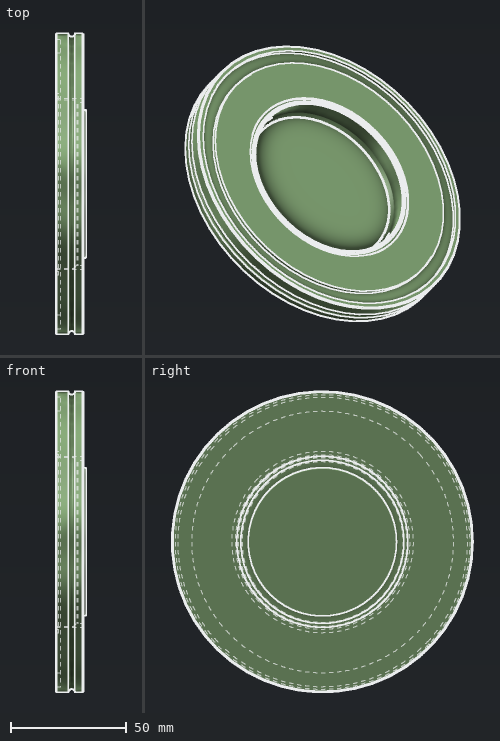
import cadquery as cq


flange_diameter = 130.0
flange_thickness = 12.0
rim_chamfer = 0.5

recess_outer_diameter = 125.0
recess_inner_diameter = 113.0
recess_depth = 2.0

weld_groove_outer_diameter = 78.35
weld_groove_inner_diameter = 75.35
weld_groove_depth = 1.0

rim_groove_center = 6.9
rim_groove_width = 2.8
rim_groove_depth = 1.4

sleeve_outer_diameter = 73.85
sleeve_mouth_diameter = 72.8
sleeve_neck_diameter = 69.4
mouth_chamfer = 0.4
mouth_depth = 7.6
neck_length = 0.2
bend_radius = 0.4

window_diameter = 70.4
window_boss_diameter = 64.0
window_back = 13.2
window_edge_radius = 0.6

taper_end = mouth_depth + (sleeve_mouth_diameter - sleeve_neck_diameter) / 2
window_front = taper_end + neck_length


def turned(profile):
    """Revolve a closed profile, drawn as (x, radius), about the X axis."""
    return profile.close().revolve(360, (0, 0, 0), (1, 0, 0))


def turned_ring(x_start, x_end, inner_diameter, outer_diameter):
    """Plain ring about the X axis."""
    profile = (
        cq.Workplane("XY")
        .moveTo(x_start, inner_diameter / 2)
        .lineTo(x_end, inner_diameter / 2)
        .lineTo(x_end, outer_diameter / 2)
        .lineTo(x_start, outer_diameter / 2)
    )
    return turned(profile)


def rim_groove():
    """Cutter for the rim groove: an arc across the groove width."""
    rim_radius = flange_diameter / 2
    start = rim_groove_center - rim_groove_width / 2
    end = rim_groove_center + rim_groove_width / 2
    profile = (
        cq.Workplane("XY")
        .moveTo(start, rim_radius)
        .threePointArc((rim_groove_center, rim_radius - rim_groove_depth), (end, rim_radius))
    )
    return turned(profile)


def make_flange():
    body = turned_ring(0, flange_thickness, sleeve_outer_diameter, flange_diameter)
    body = body.edges(cq.selectors.RadiusNthSelector(-1)).chamfer(rim_chamfer)
    body = body.cut(turned_ring(0, recess_depth, recess_inner_diameter, recess_outer_diameter))
    weld_groove = turned_ring(
        0, weld_groove_depth, weld_groove_inner_diameter, weld_groove_outer_diameter
    )
    return body.cut(weld_groove).cut(rim_groove())


def round_bend(body, x, radius):
    """Round the circular edge that lies in the plane at the given X."""
    reach = flange_diameter
    margin = neck_length / 4
    at_bend = cq.selectors.BoxSelector((x - margin, -reach, -reach), (x + margin, reach, reach))
    return body.edges(at_bend).fillet(radius)


def make_sleeve():
    outer_radius = sleeve_outer_diameter / 2
    mouth_radius = sleeve_mouth_diameter / 2
    neck_radius = sleeve_neck_diameter / 2
    seat_radius = window_diameter / 2
    profile = cq.Workplane("XY").polyline(
        [
            (0, outer_radius),
            (flange_thickness, outer_radius),
            (flange_thickness, seat_radius),
            (window_front, seat_radius),
            (window_front, neck_radius),
            (taper_end, neck_radius),
            (mouth_depth, mouth_radius),
            (mouth_chamfer, mouth_radius),
            (0, mouth_radius + mouth_chamfer),
        ]
    )
    body = turned(profile)
    body = round_bend(body, mouth_depth, bend_radius)
    return round_bend(body, taper_end, bend_radius)


def make_window():
    """Disc in the sleeve seat, with a boss that stands out behind the flange."""
    disc_radius = window_diameter / 2
    boss_radius = window_boss_diameter / 2
    profile = cq.Workplane("XY").polyline(
        [
            (window_front, 0),
            (window_front, disc_radius),
            (flange_thickness, disc_radius),
            (flange_thickness, boss_radius),
            (window_back, boss_radius),
            (window_back, 0),
        ]
    )
    return turned(profile).faces(">X").edges().fillet(window_edge_radius)


flange = make_flange().solids()
sleeve = make_sleeve().solids()
window = make_window().solids()

result = cq.Compound.makeCompound([flange.val(), sleeve.val(), window.val()])